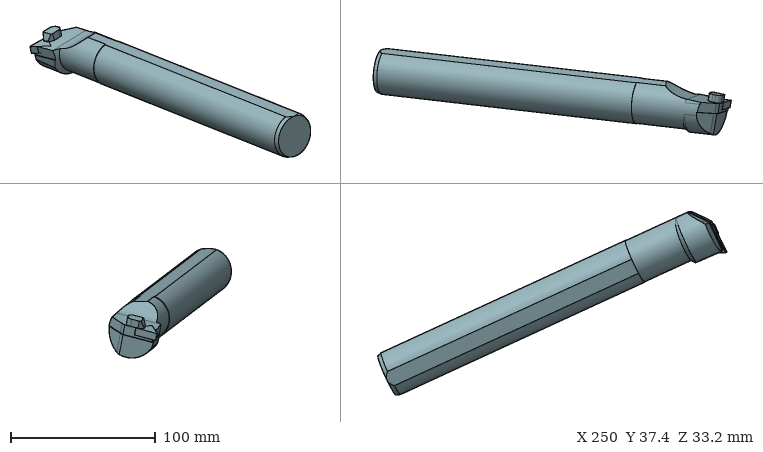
import cadquery as cq
import math

tool_length = 250.0
shank_radius = 16.0
flat_height = 15.0
neck_radius = 15.7
neck_end = 60.2
end_chamfer_length = 3.0
end_chamfer_depth = 1.0

head_radius = 17.7
head_center_y = -2.0
head_center_z = -0.5
head_length = 21.2
head_taper_length = 4.0
head_taper_end_radius = 15.0

rake_height = 5.0
rake_slope_x = 0.1
rake_slope_y = 0.217
scoop_start = 21.2
scoop_radius = 37.5
scoop_angle = 60.0
cut_reach = 50.0

front_x = 0.12
front_corner_x = 0.62
front_corner_y = 1.7
land_end_x = 2.2
land_end_y = 4.0
side_y = -19.5
corner_angle = 48.0
upper_depth = 7.2
front_relief = 0.7
lower_side_y = -20.0

insert_side = 16.5
insert_thickness = 5.2
insert_nose_radius = 0.5
insert_tip_x = -0.5
insert_tip_y = -22.2
insert_lead = 3.0

clamp_x = 5.5
clamp_width = 9.5
clamp_back_y = 1.5
clamp_shoulder_y = -7.7
clamp_tip_y = -11.5
clamp_tip_width = 4.7
clamp_corner_radius = 3.7
clamp_height = 5.2
clamp_tip_height = 0.5
clamp_bevel_start_y = -8.7

rake_plane = cq.Plane(
    origin=(0, 0, rake_height),
    xDir=(1, 0, rake_slope_x),
    normal=(-rake_slope_x, -rake_slope_y, 1),
)


def rake_side_plane():
    """Plane square to the rake plane, with its local x axis along the tool."""
    return cq.Plane(
        origin=rake_plane.origin.toTuple(),
        xDir=rake_plane.xDir.toTuple(),
        normal=(-rake_plane.yDir).toTuple(),
    )


def make_shank():
    """Round shank with a top and a bottom flat and a chamfered rear end."""
    profile = [
        (neck_end, 0),
        (neck_end, shank_radius),
        (tool_length - end_chamfer_length, shank_radius),
        (tool_length, shank_radius - end_chamfer_depth),
        (tool_length, 0),
    ]
    round_bar = cq.Workplane("XY").polyline(profile).close().revolve(360, (0, 0, 0), (1, 0, 0))
    between_flats = cq.Workplane("XY").box(3 * tool_length, 4 * shank_radius, 2 * flat_height)
    return round_bar.intersect(between_flats)


def make_neck():
    """Neck with the top flat only, running to the front of the tool."""
    neck = cq.Workplane("YZ").circle(neck_radius).extrude(neck_end)
    above_flat = (
        cq.Workplane("XY").workplane(offset=flat_height)
        .rect(4 * neck_end, 4 * neck_radius).extrude(neck_radius)
    )
    return neck.cut(above_flat)


def make_head():
    """Eccentric head that tapers into the neck."""
    center = (head_center_y, head_center_z)
    barrel = cq.Workplane("YZ").center(*center).circle(head_radius).extrude(head_length)
    taper = (
        cq.Workplane("YZ", origin=(head_length, 0, 0)).center(*center).circle(head_radius)
        .workplane(offset=head_taper_length)
        .center(-head_center_y, -head_center_z).circle(head_taper_end_radius)
        .loft(ruled=True)
    )
    return barrel.union(taper)


def head_outline(setback, flank_y):
    """Head outline in the rake plane, its front set back and its side at flank_y."""
    corner_run = cut_reach / math.tan(math.radians(corner_angle))
    return [
        (front_x + setback, flank_y),
        (front_corner_x + setback, front_corner_y),
        (land_end_x + setback, land_end_y),
        (land_end_x + setback + corner_run, land_end_y + cut_reach),
        (2 * neck_end, land_end_y + cut_reach),
        (2 * neck_end, flank_y),
    ]


def make_head_envelope():
    """Space that the trimmed head may fill, with sides square to the rake plane."""
    upper = (
        cq.Workplane(rake_plane).workplane(offset=-upper_depth)
        .polyline(head_outline(0, side_y)).close().extrude(cut_reach)
    )
    lower = (
        cq.Workplane(rake_plane).workplane(offset=-upper_depth)
        .polyline(head_outline(front_relief, lower_side_y)).close().extrude(-cut_reach)
    )
    return upper.union(lower)


def make_scoop():
    """Chip space above the rake plane, curving up to the top of the neck."""
    half_angle = math.radians(scoop_angle / 2)
    full_angle = math.radians(scoop_angle)

    def arc_point(angle):
        return (scoop_start + scoop_radius * math.sin(angle), scoop_radius * (1 - math.cos(angle)))

    arc_end = arc_point(full_angle)
    return (
        cq.Workplane(rake_side_plane()).moveTo(-cut_reach, 0).lineTo(scoop_start, 0)
        .threePointArc(arc_point(half_angle), arc_end)
        .lineTo(arc_end[0], cut_reach).lineTo(-cut_reach, cut_reach).close()
        .extrude(cut_reach, both=True)
    )


def make_clamp():
    """Rounded clamp finger with a bevelled tip."""
    half_width = clamp_width / 2
    half_tip = clamp_tip_width / 2
    finger = (
        cq.Workplane(rake_plane)
        .moveTo(clamp_x - half_tip, clamp_tip_y)
        .lineTo(clamp_x - half_width, clamp_shoulder_y)
        .lineTo(clamp_x - half_width, clamp_back_y - clamp_corner_radius)
        .tangentArcPoint((clamp_corner_radius, clamp_corner_radius))
        .lineTo(clamp_x + half_width - clamp_corner_radius, clamp_back_y)
        .tangentArcPoint((clamp_corner_radius, -clamp_corner_radius))
        .lineTo(clamp_x + half_width, clamp_shoulder_y)
        .lineTo(clamp_x + half_tip, clamp_tip_y)
        .close().extrude(clamp_height)
    )
    bevel_plane = cq.Plane(
        origin=rake_plane.origin.toTuple(),
        xDir=rake_plane.yDir.toTuple(),
        normal=rake_plane.xDir.toTuple(),
    )
    bevel = (
        cq.Workplane(bevel_plane)
        .polyline([
            (clamp_bevel_start_y, clamp_height),
            (clamp_tip_y, clamp_tip_height),
            (clamp_tip_y, clamp_height),
        ]).close().extrude(cut_reach, both=True)
    )
    return finger.cut(bevel)


def make_insert():
    """Equilateral cutting insert lying flush with the rake plane."""
    edge_angles = [math.radians(90 - insert_lead), math.radians(30 - insert_lead)]
    tip = (insert_tip_x, insert_tip_y)
    corners = [tip] + [
        (tip[0] + insert_side * math.cos(a), tip[1] + insert_side * math.sin(a)) for a in edge_angles
    ]
    triangle = cq.Workplane(rake_plane).polyline(corners).close().extrude(-insert_thickness)
    return triangle.edges(cq.selectors.ParallelDirSelector(rake_plane.zDir)).fillet(insert_nose_radius)


insert = make_insert()

front = make_neck().union(make_head()).intersect(make_head_envelope()).cut(make_scoop())
holder = front.union(make_shank()).union(make_clamp()).cut(insert)

result = cq.Compound.makeCompound([holder.val(), insert.val()])